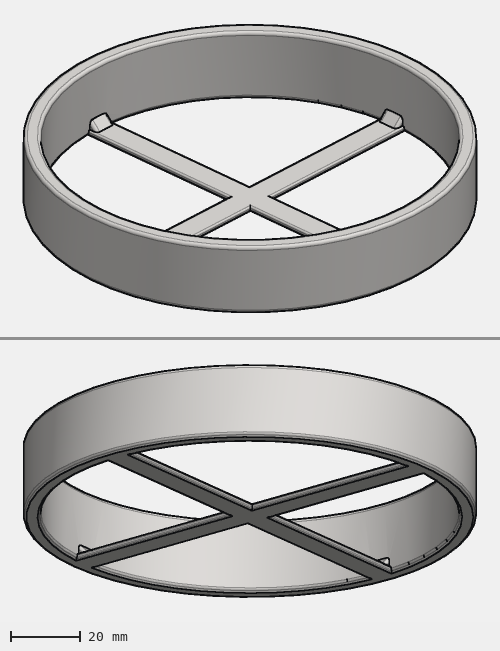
import cadquery as cq
import math

outer_diameter = 129.5
inner_diameter = 119.5
height = 22.0
rim_fillet = 1.0
rim_bevel = 0.9

spoke_width = 8.3
spoke_thickness = 2.0
spoke_fillet = 0.58
spoke_bevel = 0.58

gusset_reach = 3.0
gusset_rise = 3.0
gusset_width = spoke_width - 2 * spoke_fillet
gusset_fillet = 1.0

outer_radius = outer_diameter / 2
inner_radius = inner_diameter / 2
wall_middle_radius = (outer_radius + inner_radius) / 2


def eased_profile(plane, left, right, top, radius, bevel):
    """Rectangle on the base line: round top corners, bottom corners round into a 45 degree bevel."""
    bend = radius * (1 - math.sqrt(0.5))
    bevel_top = bevel - bend
    arc_top = bevel_top + radius * math.sqrt(0.5)
    half_bend = math.pi / 8
    mid_inset = radius * (1 - math.cos(half_bend))
    mid_height = arc_top - radius * math.sin(half_bend)
    return (
        cq.Workplane(plane)
        .moveTo(left + bevel, 0)
        .lineTo(right - bevel, 0)
        .lineTo(right - bend, bevel_top)
        .threePointArc((right - mid_inset, mid_height), (right, arc_top))
        .lineTo(right, top - radius)
        .threePointArc((right - bend, top - bend), (right - radius, top))
        .lineTo(left + radius, top)
        .threePointArc((left + bend, top - bend), (left, top - radius))
        .lineTo(left, arc_top)
        .threePointArc((left + mid_inset, mid_height), (left + bend, bevel_top))
        .close()
    )


def make_ring():
    """Ring turned from the eased wall section."""
    section = eased_profile("XZ", inner_radius, outer_radius, height, rim_fillet, rim_bevel)
    return section.revolve(360, (0, 0, 0), (0, 1, 0))


def make_cross():
    """Two perpendicular spokes with eased long edges, ending inside the ring wall."""
    half_width = spoke_width / 2
    section = eased_profile("YZ", -half_width, half_width, spoke_thickness, spoke_fillet, spoke_bevel)
    bar = section.extrude(wall_middle_radius, both=True)
    return bar.union(bar.rotate((0, 0, 0), (0, 0, 1), 90))


def make_gusset():
    """Wedge at the +X spoke end, rising to the ring wall, with its slope edges rounded."""
    toe_radius = inner_radius - gusset_reach
    slope = gusset_rise / gusset_reach
    back_height = spoke_thickness + slope * (wall_middle_radius - toe_radius)
    wedge = (
        cq.Workplane("XZ")
        .moveTo(toe_radius, spoke_thickness)
        .lineTo(wall_middle_radius, spoke_thickness)
        .lineTo(wall_middle_radius, back_height)
        .close()
        .extrude(gusset_width / 2, both=True)
    )
    slope_edges = wedge.edges("(not |Y) and (not |X) and (not |Z)")
    return slope_edges.fillet(gusset_fillet)


result = make_ring().union(make_cross())
for quarter_turn in range(4):
    result = result.union(make_gusset().rotate((0, 0, 0), (0, 0, 1), 90 * quarter_turn))